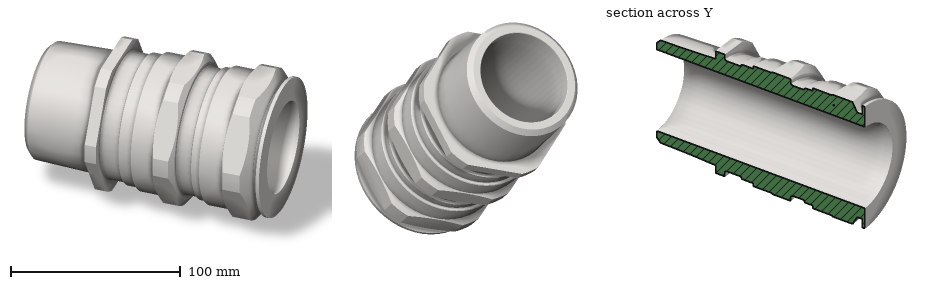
import cadquery as cq
import math


length = 150.5
across_flats = 85.0
corner_diameter = 92.0
corner_radius = corner_diameter / 2
bore_radius = 28.2
bore_chamfer = 0.3

spigot_length = 42.5
spigot_tip_chamfer = 3.0
spigot_small_radius = 35.8
spigot_large_radius = 37.2

flange_end = 49.5

collar_radius = 38.5
collar_root = 1.0
collar_root_rise = 0.6
step_radius = 40.0
step_cone = 0.9
sleeve_radius = 42.0
sleeve_chamfer = 0.5
step_1_start = 60.7
sleeve_1_start = 69.7
step_2_start = 106.3
sleeve_2_start = 112.5

hex_1_start = 83.1
hex_1_end = 97.3
hex_2_start = 126.6
hex_2_end = 144.8
hex_chamfer_angle = 30.0
hex_start_chamfer = 2.3
hex_1_end_chamfer = 2.5
hex_2_end_chamfer = 5.3

neck_radius = 36.6
disc_radius = across_flats / 2
disc_thickness = 2.1


def turned(points):
    """Solid of revolution about X under a line of (x, radius) points."""
    start_x = points[0][0]
    end_x = points[-1][0]
    outline = [(start_x, 0)] + points + [(end_x, 0)]
    return cq.Workplane("XY").polyline(outline).close().revolve(360, (0, 0, 0), (1, 0, 0))


def hexagon(start_x, end_x, start_chamfer=0.0, end_chamfer=0.0):
    """Hexagonal prism, flats facing +Z and -Z, cut by a round body with conical ends."""
    corner_to_corner = across_flats / math.cos(math.pi / 6)
    prism = cq.Workplane("YZ", origin=(start_x, 0, 0)).polygon(6, corner_to_corner).extrude(end_x - start_x)
    drop_per_length = 1 / math.tan(math.radians(hex_chamfer_angle))
    envelope = [(start_x, corner_radius - start_chamfer * drop_per_length)]
    if start_chamfer > 0:
        envelope.append((start_x + start_chamfer, corner_radius))
    if end_chamfer > 0:
        envelope.append((end_x - end_chamfer, corner_radius))
    envelope.append((end_x, corner_radius - end_chamfer * drop_per_length))
    return prism.intersect(turned(envelope))


def stepped_sleeve(start_x, step_x, sleeve_x, end_x):
    """Collar, coned step and chamfered sleeve, rising towards the hexagon at end_x."""
    return turned([
        (start_x, collar_radius + collar_root_rise),
        (start_x + collar_root, collar_radius),
        (step_x, collar_radius),
        (step_x + step_cone, step_radius),
        (sleeve_x, step_radius),
        (sleeve_x, sleeve_radius - sleeve_chamfer),
        (sleeve_x + sleeve_chamfer, sleeve_radius),
        (end_x, sleeve_radius),
    ])


spigot = turned([
    (0, spigot_small_radius - spigot_tip_chamfer),
    (spigot_tip_chamfer, spigot_small_radius),
    (spigot_length, spigot_large_radius),
])
flange = hexagon(spigot_length, flange_end)
sleeve_1 = stepped_sleeve(flange_end, step_1_start, sleeve_1_start, hex_1_start)
hex_1 = hexagon(hex_1_start, hex_1_end, hex_start_chamfer, hex_1_end_chamfer)
sleeve_2 = stepped_sleeve(hex_1_end, step_2_start, sleeve_2_start, hex_2_start)
hex_2 = hexagon(hex_2_start, hex_2_end, hex_start_chamfer, hex_2_end_chamfer)
disc_start = length - disc_thickness
neck = turned([(hex_2_end, neck_radius), (disc_start, neck_radius)])
disc = turned([(disc_start, disc_radius), (length, disc_radius)])

body = spigot
for section in (flange, sleeve_1, hex_1, sleeve_2, hex_2, neck, disc):
    body = body.union(section)

bore = turned([
    (0, bore_radius + bore_chamfer),
    (bore_chamfer, bore_radius),
    (length, bore_radius),
])
result = body.cut(bore)